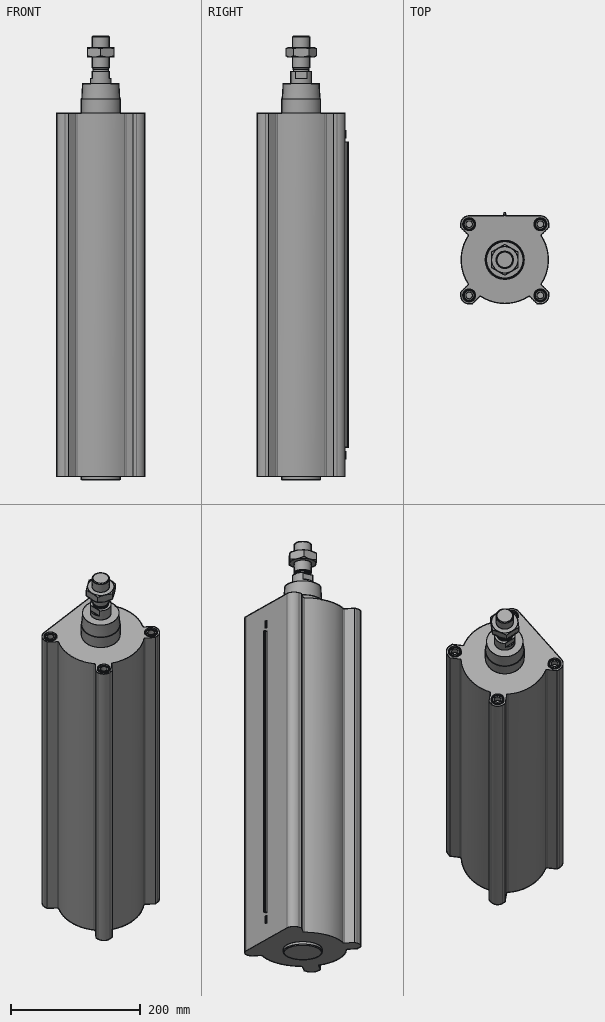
import cadquery as cq
import math

total_length = 685.0
spigot_height = 5.5
body_top = 566.5
collar_step = 588.0
collar_top = 612.0

bolt_circle_diameter = 155.5
recess_diameter = 20.0
recess_wall = 3.15
body_diameter = 135.0
corner_arm_width = 25.5
arm_root_fillet = 2.0
corner_radius = recess_diameter / 2 + recess_wall
bolt_pitch = bolt_circle_diameter / math.sqrt(2)
body_width = bolt_pitch + 2 * corner_radius
half_width = body_width / 2
body_height = body_top - spigot_height

recess_depth = 4.0
bolt_diameter = 18.0
bolt_height = 3.5
bolt_chamfer = 1.5
socket_diameter = 10.0
socket_depth = 10.0

collar_diameter = 60.0
cone_base_diameter = 59.0
cone_top_diameter = 56.0
spigot_chamfer = 1.5

rail_width = 3.5
rail_top_width = 2.0
total_depth = 141.0
rail_bevel_height = 2.0
rail_bottom = 51.0
rail_length = 471.0
stop_height = 1.5
stop_length = 11.5
stop_gap = 6.0

rod_diameter = 32.0
rod_flat_width = 27.0
rod_flat_bottom = 620.0
groove_bottom = 631.0
groove_top = 636.0
groove_step = 633.5
groove_lower_diameter = 24.0
groove_upper_diameter = 25.0
thread_diameter = 27.0
thread_chamfer = 1.5

nut_bottom = 653.0
nut_top = 667.0
nut_flat_width = 41.0
nut_corner_width = nut_flat_width * 2 / math.sqrt(3)
nut_chamfer_width = 3.5
nut_top_chamfer_height = 1.5
nut_bottom_chamfer_height = 2.0


def plane_at(height):
    """A horizontal workplane at a given height."""
    return cq.Workplane("XY").workplane(offset=height)


def cylinder(diameter, bottom, top):
    """A cylinder on the Z axis between two heights."""
    return plane_at(bottom).circle(diameter / 2).extrude(top - bottom)


def make_body():
    """Round barrel with four diagonal corner arms and a flat +Y side."""
    base = plane_at(spigot_height)
    rounded_square = base.rect(body_width, body_width).extrude(body_height).edges("|Z").fillet(corner_radius)

    diagonal = body_width * math.sqrt(2)
    body = cylinder(body_diameter, spigot_height, body_top)
    for angle in (45, 135):
        bar = base.transformed(rotate=(0, 0, angle)).rect(diagonal, corner_arm_width).extrude(body_height)
        body = body.union(bar.intersect(rounded_square))

    arm_half = corner_arm_width / 2
    root_distance = math.sqrt((body_diameter / 2) ** 2 - arm_half ** 2)
    root_near = (root_distance - arm_half) / math.sqrt(2)
    root_far = (root_distance + arm_half) / math.sqrt(2)
    roots = [(root_near, -root_far), (-root_near, -root_far)]
    roots += [(side * root_far, y) for side in (-1, 1) for y in (-root_near, root_near)]
    for x, y in roots:
        edge = cq.selectors.NearestToPointSelector((x, y, spigot_height + body_height / 2))
        body = body.edges("|Z").edges(edge).fillet(arm_root_fillet)

    filling = base.polyline([(0, 0), (bolt_pitch / 2, half_width), (-bolt_pitch / 2, half_width)])
    return body.union(filling.close().extrude(body_height))


def make_corner_recess():
    """The material removed around and inside one corner bolt, on the Z axis."""
    floor = body_top - recess_depth
    recess = cylinder(recess_diameter, floor, body_top)
    bolt = cylinder(bolt_diameter, floor, floor + bolt_height).faces(">Z").edges().chamfer(bolt_chamfer)
    socket = cylinder(socket_diameter, floor + bolt_height - socket_depth, body_top)
    return recess.cut(bolt).union(socket)


def make_collar():
    """Stepped collar: a cylinder below a slightly tapered nose."""
    collar = cylinder(collar_diameter, body_top, collar_step)
    nose = (
        plane_at(collar_step).circle(cone_base_diameter / 2)
        .workplane(offset=collar_top - collar_step).circle(cone_top_diameter / 2)
        .loft()
    )
    return collar.union(nose)


def make_rail():
    """Narrow bevelled rail along the +Y side."""
    crest = total_depth - half_width
    bevel_start = crest - rail_bevel_height
    right_side = [(rail_width / 2, 0), (rail_width / 2, bevel_start), (rail_top_width / 2, crest)]
    left_side = [(-x, y) for x, y in reversed(right_side)]
    return plane_at(rail_bottom).polyline(right_side + left_side).close().extrude(rail_length)


def make_stop(bottom):
    """Low block on the +Y side, in line with the rail."""
    stop = plane_at(bottom).center(0, half_width).rect(rail_width, 2 * stop_height)
    return stop.extrude(stop_length)


def make_housing():
    spigot = cylinder(collar_diameter, 0, spigot_height).faces("<Z").chamfer(spigot_chamfer)
    housing = make_body().union(make_rail()).union(make_collar()).union(spigot)
    for stop_bottom in (rail_bottom - stop_gap - stop_length, rail_bottom + rail_length + stop_gap):
        housing = housing.union(make_stop(stop_bottom))
    recess = make_corner_recess()
    for x in (-bolt_pitch / 2, bolt_pitch / 2):
        for y in (-bolt_pitch / 2, bolt_pitch / 2):
            housing = housing.cut(recess.translate((x, y, 0)))
    return housing.cut(cylinder(rod_diameter, body_top, collar_top))


def make_rod():
    """Rod with two wrench flats, a stepped relief groove and a threaded end."""
    rod = cylinder(rod_diameter, body_top, groove_bottom)
    flat_length = groove_bottom - rod_flat_bottom
    flatted = plane_at(rod_flat_bottom).rect(rod_flat_width, rod_diameter).extrude(flat_length)
    rod = rod.intersect(cylinder(rod_diameter, body_top, rod_flat_bottom).union(flatted))
    lower_groove = cylinder(groove_lower_diameter, groove_bottom, groove_step)
    upper_groove = cylinder(groove_upper_diameter, groove_step, groove_top)
    thread = cylinder(thread_diameter, groove_top, total_length).faces("|Z").chamfer(thread_chamfer)
    return rod.union(lower_groove).union(upper_groove).union(thread)


def make_nut():
    """Hexagon nut with two flats facing X and chamfered corners."""
    nut_height = nut_top - nut_bottom
    hexagon = plane_at(nut_bottom).transformed(rotate=(0, 0, 90)).polygon(6, nut_corner_width)
    turned = cylinder(nut_corner_width, nut_bottom, nut_top)
    turned = turned.faces(">Z").chamfer(nut_top_chamfer_height, nut_chamfer_width)
    turned = turned.faces("<Z").chamfer(nut_bottom_chamfer_height, nut_chamfer_width)
    return hexagon.extrude(nut_height).intersect(turned).cut(cylinder(thread_diameter, nut_bottom, nut_top))


housing = make_housing()
rod = make_rod()
nut = make_nut()
result = cq.Compound.makeCompound([housing.val(), rod.val(), nut.val()])